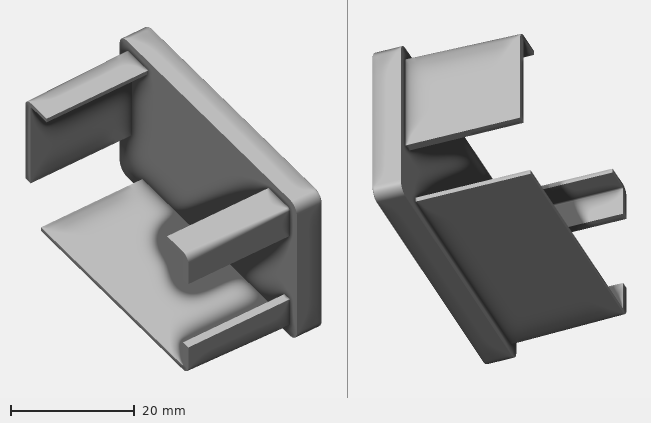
import cadquery as cq
import math

plate_width = 50.0
plate_height = 30.0
plate_depth = 5.0
plate_corner_radius = 2.0
back_edge_radius = 0.25

bracket_length = 20.0
bracket_inset = 2.0
upright_thickness = 1.5
flange_thickness = 0.8
short_leg = 6.0
left_upright_height = 17.7
bottom_flange_width = 41.6
inner_corner_radius = 0.3

bend_radius_at_plate = 0.5
bend_radius_at_end = 1.5

corner_x = plate_width / 2 - bracket_inset
corner_z = plate_height / 2 - bracket_inset


def make_plate():
    """Rounded rectangular plate with a softened back edge."""
    plate = cq.Workplane("XY").box(plate_width, plate_depth, plate_height)
    plate = plate.translate((0, plate_depth / 2, 0))
    plate = plate.edges("|Y").fillet(plate_corner_radius)
    return plate.faces(">Y").edges().fillet(back_edge_radius)


def bracket_section(side_x, side_z, flange_width, upright_height, bend_radius, y):
    """L-shaped wire at depth y; side_x and side_z (+1 or -1) select the plate corner."""

    def point(across, along):
        return cq.Vector(side_x * (corner_x - across), y, side_z * (corner_z - along))

    bend_middle = bend_radius * (1 - math.sqrt(0.5))
    inner_middle = inner_corner_radius * (1 - math.sqrt(0.5))
    inner_end_x = upright_thickness + inner_corner_radius
    inner_end_z = flange_thickness + inner_corner_radius

    bend_start = point(0, bend_radius)
    bend_end = point(bend_radius, 0)
    flange_outer = point(flange_width, 0)
    flange_inner = point(flange_width, flange_thickness)
    inner_start = point(inner_end_x, flange_thickness)
    inner_end = point(upright_thickness, inner_end_z)
    upright_inner = point(upright_thickness, upright_height)
    upright_outer = point(0, upright_height)
    bend_mid_point = point(bend_middle, bend_middle)
    inner_mid_point = point(upright_thickness + inner_middle, flange_thickness + inner_middle)

    return cq.Wire.assembleEdges([
        cq.Edge.makeThreePointArc(bend_start, bend_mid_point, bend_end),
        cq.Edge.makeLine(bend_end, flange_outer),
        cq.Edge.makeLine(flange_outer, flange_inner),
        cq.Edge.makeLine(flange_inner, inner_start),
        cq.Edge.makeThreePointArc(inner_start, inner_mid_point, inner_end),
        cq.Edge.makeLine(inner_end, upright_inner),
        cq.Edge.makeLine(upright_inner, upright_outer),
        cq.Edge.makeLine(upright_outer, bend_start),
    ])


def make_bracket(side_x, side_z, flange_width, upright_height):
    """Angle bracket lofted from the plate to its free end."""
    leg_sizes = (side_x, side_z, flange_width, upright_height)
    at_plate = bracket_section(*leg_sizes, bend_radius_at_plate, 0)
    at_end = bracket_section(*leg_sizes, bend_radius_at_end, -bracket_length)
    return cq.Solid.makeLoft([at_plate, at_end], True)


brackets = [
    (-1, 1, short_leg, left_upright_height),
    (1, 1, short_leg, short_leg),
    (1, -1, bottom_flange_width, short_leg),
]

result = make_plate()
for bracket in brackets:
    result = result.union(cq.Workplane(obj=make_bracket(*bracket)))